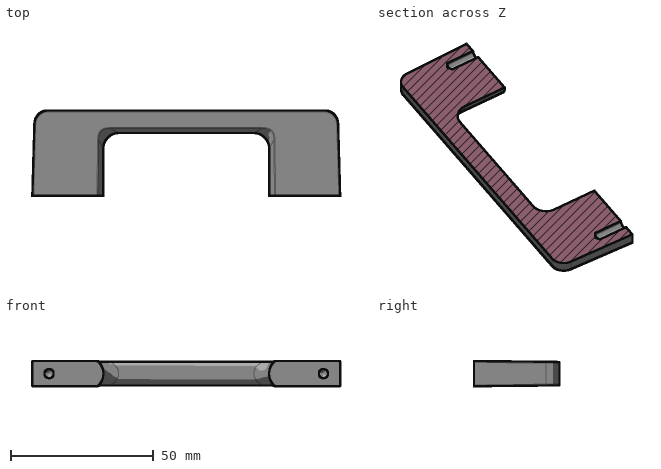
import cadquery as cq
import math

length = 108
depth = 30.0
foot_height = 9.0
back_height = 8.3
side_inset = 0.9
outer_corner_radius = 4.9
edge_radius = 0.5

opening_width = 58.1
opening_depth = 22.0
opening_corner_radius = 5.4
bulge_radius = 5.9
frame_margin = 2.2

hole_spacing = 96.1
hole_diameter = 3.2
hole_depth = 10.8
drill_tip_angle = 118


def make_blank():
    """Solid block tapering towards the back, with rounded outer corners."""
    half_front = length / 2
    half_back = half_front - side_inset
    plan = (
        cq.Workplane("XY")
        .polyline([(-half_front, 0), (half_front, 0), (half_back, depth), (-half_back, depth)])
        .close()
        .extrude(foot_height / 2, both=True)
        .edges("|Z and >Y")
        .fillet(outer_corner_radius)
    )
    profile = (
        cq.Workplane("YZ")
        .polyline([
            (0, -foot_height / 2),
            (depth, -back_height / 2),
            (depth, back_height / 2),
            (0, foot_height / 2),
        ])
        .close()
        .extrude(length, both=True)
    )
    return plan.intersect(profile)


def bulged_bar(plane, nose, back, start, end):
    """Bar with a round nose, running from start to end along the plane normal."""
    axis = nose + math.copysign(bulge_radius, back - nose)
    return (
        cq.Workplane(plane)
        .workplane(offset=start)
        .moveTo(back, -bulge_radius)
        .lineTo(axis, -bulge_radius)
        .threePointArc((nose, 0), (axis, bulge_radius))
        .lineTo(back, bulge_radius)
        .close()
        .extrude(end - start)
    )


def make_bulged_frame():
    """Oversized frame whose bulged inner walls shape the opening."""
    half_opening = opening_width / 2
    outer_x = length / 2 + frame_margin
    outer_y = depth + frame_margin
    frame = bulged_bar("YZ", opening_depth, outer_y, -outer_x, outer_x)
    for side in (-1, 1):
        frame = frame.union(bulged_bar("XZ", side * half_opening, side * outer_x, -outer_y, frame_margin))
    corner_zone = cq.selectors.BoxSelector(
        (-half_opening - bulge_radius, opening_depth - frame_margin, -bulge_radius),
        (half_opening + bulge_radius, opening_depth + bulge_radius, bulge_radius),
    )
    return frame.edges(corner_zone).edges("not(|X or |Y or |Z)").fillet(opening_corner_radius)


def make_screw_holes():
    """Blind drilled holes with conical ends, one into each foot."""
    radius = hole_diameter / 2
    tip_depth = radius / math.tan(math.radians(drill_tip_angle / 2))
    holes = cq.Workplane("XY")
    for x in (-hole_spacing / 2, hole_spacing / 2):
        drill = (
            cq.Workplane("XY")
            .polyline([(0, 0), (radius, 0), (radius, hole_depth), (0, hole_depth + tip_depth)])
            .close()
            .revolve(360, (0, 0), (0, 1))
        )
        holes = holes.add(drill.translate((x, 0, 0)))
    return holes.combine()


def round_rims(handle):
    """Round the rims of the sloping upper and lower faces, leaving the feet ends sharp."""
    slope = (foot_height - back_height) / 2 / depth
    upper = cq.selectors.ParallelDirSelector(cq.Vector(0, slope, 1))
    lower = cq.selectors.ParallelDirSelector(cq.Vector(0, slope, -1))
    return handle.faces(upper + lower).edges("not <Y").fillet(edge_radius)


handle = make_blank().intersect(make_bulged_frame())
result = round_rims(handle).cut(make_screw_holes())